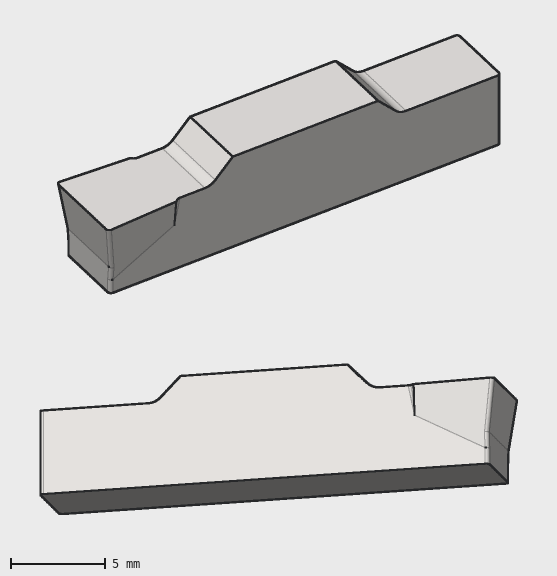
import cadquery as cq
import math

length = 25.0
height = 5.98
body_width = 4.2
tip_width = 5.08
deck_height = 4.6

ridge_front_y = -4.38
ridge_rear_y = 4.78
ramp_fillet = 0.93

front_relief_angle = 7.5
foot_height = 1.75
side_relief_angle = 6.2
plan_taper_angle = 3.3
flank_length = 4.45
shoulder_angle = 38.0
shoulder_radius = 0.35
corner_radius = 0.2

pick_margin = 0.25

front_y = -length / 2
rear_y = length / 2
foot_y = front_y + (deck_height - foot_height) * math.tan(math.radians(front_relief_angle))
flank_rear_y = front_y + flank_length
half_body = body_width / 2
side_slope = math.tan(math.radians(side_relief_angle))
tip_overhang = (tip_width - body_width) / 2
rear_overhang = tip_overhang - flank_length * math.tan(math.radians(plan_taper_angle))


def make_body():
    """Side profile of the shank and ridge, extruded across the body width."""
    ramp_run = height - deck_height
    profile = (
        cq.Workplane("YZ")
        .moveTo(foot_y, 0)
        .lineTo(rear_y, 0)
        .lineTo(rear_y, deck_height)
        .lineTo(ridge_rear_y + ramp_run, deck_height)
        .lineTo(ridge_rear_y, height)
        .lineTo(ridge_front_y, height)
        .lineTo(ridge_front_y - ramp_run, deck_height)
        .lineTo(front_y, deck_height)
        .lineTo(foot_y, foot_height)
        .close()
        .extrude(half_body, both=True)
    )
    ramp_feet = cq.selectors.BoxSelector(
        (-half_body, ridge_front_y - ramp_run - pick_margin, deck_height - pick_margin),
        (half_body, ridge_rear_y + ramp_run + pick_margin, deck_height + pick_margin),
    )
    return profile.edges("|X").edges(ramp_feet).fillet(ramp_fillet)


def flank_section(y, overhang):
    """Triangle standing out from the +X body wall, narrowing downwards."""
    return cq.Wire.makePolygon(
        [
            cq.Vector(half_body, y, deck_height),
            cq.Vector(half_body + overhang, y, deck_height),
            cq.Vector(half_body, y, deck_height - overhang / side_slope),
        ],
        close=True,
    )


def make_flank():
    """Flared flank on the +X side, cut back by the front relief plane."""
    flank = cq.Workplane(
        cq.Solid.makeLoft(
            [flank_section(front_y, tip_overhang), flank_section(flank_rear_y, rear_overhang)],
            True,
        )
    )
    relief_side = (
        cq.Workplane("YZ")
        .moveTo(front_y, deck_height)
        .lineTo(foot_y, foot_height)
        .lineTo(foot_y, 0)
        .lineTo(flank_rear_y, 0)
        .lineTo(flank_rear_y, deck_height)
        .close()
        .extrude(tip_width)
    )
    return flank.intersect(relief_side)


def make_shoulder():
    """Blend from the flank back to the body wall, shrinking to a point at its foot."""
    angle = math.radians(shoulder_angle)
    arc_length = shoulder_radius * math.sin(angle)
    arc_rise = shoulder_radius * (1 - math.cos(angle))
    line_length = (rear_overhang - arc_rise) / math.tan(angle)
    arc_front_y = flank_rear_y + line_length
    wall_y = arc_front_y + arc_length
    arc_middle = (
        half_body + shoulder_radius * (1 - math.cos(angle / 2)),
        wall_y - shoulder_radius * math.sin(angle / 2),
    )
    outline = (
        cq.Workplane("XY", origin=(0, 0, deck_height))
        .moveTo(half_body, flank_rear_y)
        .lineTo(half_body, wall_y)
        .threePointArc(arc_middle, (half_body + arc_rise, arc_front_y))
        .lineTo(half_body + rear_overhang, flank_rear_y)
        .close()
    )
    foot = cq.Vertex.makeVertex(half_body, flank_rear_y, deck_height - rear_overhang / side_slope)
    return cq.Workplane(cq.occ_impl.shapes.loft(outline.val(), foot, cap=True, ruled=True))


def make_blank():
    """Body with both flared sides, all corners still sharp."""
    side = make_flank().union(make_shoulder())
    return make_body().union(side).union(side.mirror("YZ")).clean()


def round_corners(blank):
    """Round the upright corners at the front and rear ends."""
    front_corners = cq.selectors.BoxSelector(
        (-tip_width, front_y - pick_margin, 0), (tip_width, foot_y + pick_margin, deck_height)
    )
    rounded = blank.edges("|Z and >Y").fillet(corner_radius)
    return rounded.edges(front_corners).edges("not(|X or |Y)").fillet(corner_radius)


result = round_corners(make_blank())